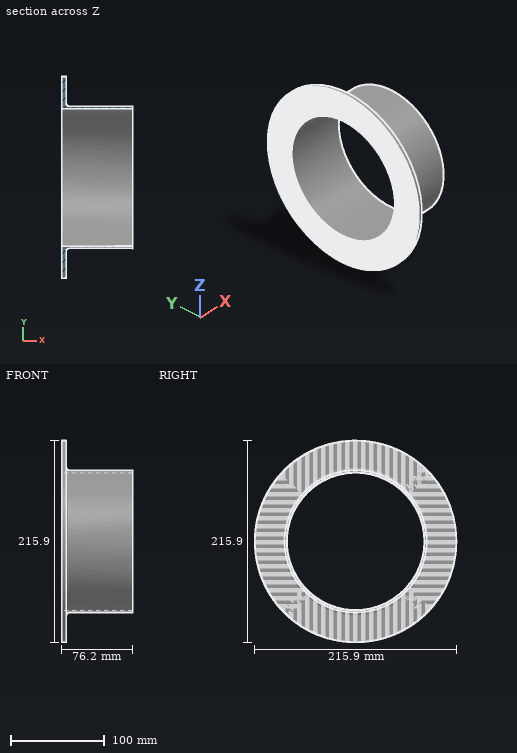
import cadquery as cq
import math

length = 76.2
flange_diameter = 215.9
flange_thickness = 5.2
tube_outer_diameter = 152.4
bore_diameter = 146.86
fillet_radius = 3.175

groove_pitch = 0.9144
groove_tool_radius = 0.397
groove_depth = 0.1524

flange_radius = flange_diameter / 2
tube_radius = tube_outer_diameter / 2
bore_radius = bore_diameter / 2


def stub_end():
    """Flanged tube: half section with X along the axis and Y as the radius, turned about X."""
    return (
        cq.Workplane("XY")
        .moveTo(0, bore_radius)
        .lineTo(0, flange_radius)
        .lineTo(flange_thickness, flange_radius)
        .lineTo(flange_thickness, tube_radius + fillet_radius)
        .radiusArc((flange_thickness + fillet_radius, tube_radius), -fillet_radius)
        .lineTo(length, tube_radius)
        .lineTo(length, bore_radius)
        .close()
        .revolve(360, (0, 0, 0), (1, 0, 0))
    )


def groove_half_turn(index):
    """Half ring of the tool circle; even ones lie on the +Y side, odd ones on the -Y side.

    The centres of the two sides are half a pitch apart in Z, so the half rings join into a spiral.
    """
    on_plus_y = index % 2 == 0
    centre_z = -groove_pitch / 4 if on_plus_y else groove_pitch / 4
    start_angle = -90 if on_plus_y else 90
    radius = bore_radius + groove_pitch * (2 * index + 1) / 4
    return (
        cq.Workplane("XY")
        .center(groove_depth - groove_tool_radius, radius)
        .circle(groove_tool_radius)
        .revolve(180, (0, -radius, 0), (1, -radius, 0))
        .rotate((0, 0, 0), (1, 0, 0), start_angle)
        .translate((0, 0, centre_z))
    )


def groove_cutter():
    """Spiral bar from the bore edge at +Z out past the rim, turning from +Z toward +Y."""
    turns = math.ceil((flange_radius - bore_radius) / groove_pitch)
    half_turns = [groove_half_turn(i) for i in range(2 * turns)]
    skin = [half_turn.faces("%TORUS").val() for half_turn in half_turns]
    end_caps = [half_turns[0].faces(">Z").val(), half_turns[-1].faces(">Z").val()]
    return cq.Workplane(obj=cq.Solid.makeSolid(cq.Shell.makeShell(skin + end_caps)))


result = stub_end().cut(groove_cutter())